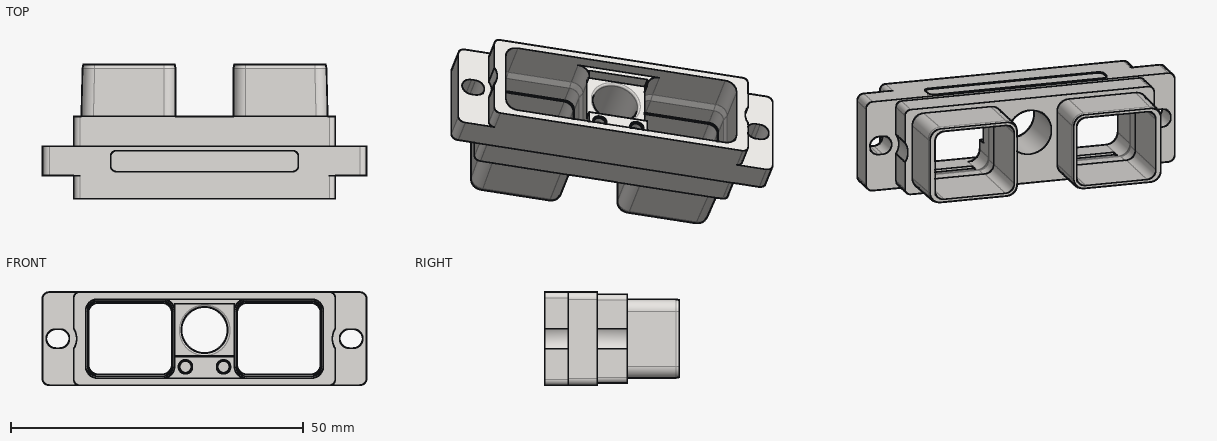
import cadquery as cq

flange_length = 55.41
shell_height = 15.93
body_length = 44.66
rear_body_height = 15.2
total_depth = 22.99

flange_front_y = 4.0
flange_rear_y = 9.0
body_rear_y = 14.1
corner_radius = 1.0
flange_corner_radius = 1.2

mount_hole_x = 25.05
mount_hole_length = 3.9
mount_hole_height = 3.2
groove_radius = 3.22

pod_inner_x = 4.93
pod_outer_x = 21.05
pod_height = 13.5
pod_corner_radius = 2.04
pod_side_draft = 0.2
pod_tip_length = 0.65
pod_tip_inset = 0.15

cavity_length = 40.6
cavity_height = 13.5
pocket_corner_radius = 2.05
web_width = 10.2
web_front_y = 2.0
funnel_front_y = 6.75
funnel_rear_y = 8.05
funnel_inset = 0.33
lip_front_y = 11.5
aperture_height = 12.15
aperture_side_inset = 0.5
aperture_corner_radius = 1.6
pocket_width = (cavity_length - web_width) / 2
pocket_center_x = (cavity_length + web_width) / 4

latch_front_y = 4.55
latch_rear_y = 6.4
latch_depth = 0.45
latch_side_margin = 0.1
latch_width = pocket_width - 2 * (pocket_corner_radius + latch_side_margin)

recess_bottom_z = -2.95
recess_top_z = 5.95
recess_floor_y = 4.0
ledge_edge_chamfer = 0.15
bore_z = 1.47
bore_radius = 3.92
bore_mouth_fillet = 0.4

pin_hole_x = 3.25
pin_hole_z = -4.82
pin_hole_radius = 1.0
pin_mouth_radius = 1.2
pin_mouth_depth = 0.3
pin_hole_depth = 1.5

label_length = 32.07
label_depth_y = 3.58
label_center_y = 6.45
label_corner_radius = 1.0
label_sink = 0.2


def plane_at(y, x=0, z=0):
    """XZ plane at depth y whose normal points to the rear (+Y); its local X is the part's -X."""
    return cq.Plane(origin=(x, y, z), xDir=(-1, 0, 0), normal=(0, 1, 0))


def rounded_block(length, height, radius, front_y, rear_y, center_x=0):
    block = cq.Workplane(plane_at(front_y, center_x)).rect(length, height).extrude(rear_y - front_y)
    return block.edges("|Y").fillet(radius)


def rounded_rect(width, height, radius):
    return cq.Sketch().rect(width, height).vertices().fillet(radius)


def tapered_block(front, rear):
    """Loft between two rounded rectangles, each given as (y, center_x, width, height, radius)."""
    front_y, front_x, front_width, front_height, front_radius = front
    rear_y, rear_x, rear_width, rear_height, rear_radius = rear
    front_sketch = rounded_rect(front_width, front_height, front_radius)
    rear_sketch = rounded_rect(rear_width, rear_height, rear_radius)
    rear_place = cq.Location(cq.Vector(front_x - rear_x, 0, rear_y - front_y))
    start = cq.Workplane(plane_at(front_y, front_x))
    return start.placeSketch(front_sketch, rear_sketch.moved(rear_place)).loft()


def shell():
    front_body = rounded_block(body_length, shell_height, corner_radius, 0, flange_rear_y)
    rear_body = rounded_block(body_length, rear_body_height, corner_radius, flange_front_y, body_rear_y)
    bodies = front_body.union(rear_body)
    for side in (-1, 1):
        groove = cq.Workplane(plane_at(0, side * mount_hole_x)).circle(groove_radius).extrude(body_rear_y)
        bodies = bodies.cut(groove)
    flange = rounded_block(flange_length, shell_height, flange_corner_radius, flange_front_y, flange_rear_y)
    for side in (-1, 1):
        hole = cq.Workplane(plane_at(flange_front_y, side * mount_hole_x))
        hole = hole.slot2D(mount_hole_length, mount_hole_height).extrude(flange_rear_y - flange_front_y)
        flange = flange.cut(hole)
    return bodies.union(flange)


def pod(side):
    """Hollow pod's outer form: its outboard wall leans inward, and the tip is tapered all round."""
    base_width = pod_outer_x - pod_inner_x
    base_x = side * (pod_outer_x + pod_inner_x) / 2
    top_width = base_width - pod_side_draft
    top_x = base_x - side * pod_side_draft / 2
    shoulder_y = total_depth - pod_tip_length
    base = (body_rear_y, base_x, base_width, pod_height, pod_corner_radius)
    shoulder = (shoulder_y, top_x, top_width, pod_height, pod_corner_radius)
    tip = (
        total_depth,
        top_x,
        top_width - 2 * pod_tip_inset,
        pod_height - 2 * pod_tip_inset,
        pod_corner_radius - pod_tip_inset,
    )
    return tapered_block(base, shoulder).union(tapered_block(shoulder, tip))


def pocket(side):
    """Wide front, funnel, narrower middle, then the lipped aperture through the pod."""
    x = side * pocket_center_x
    middle_width = pocket_width - 2 * funnel_inset
    middle_height = cavity_height - 2 * funnel_inset
    middle_radius = pocket_corner_radius - funnel_inset
    aperture_width = pocket_width - 2 * aperture_side_inset
    space = rounded_block(pocket_width, cavity_height, pocket_corner_radius, 0, funnel_front_y, x)
    funnel = tapered_block(
        (funnel_front_y, x, pocket_width, cavity_height, pocket_corner_radius),
        (funnel_rear_y, x, middle_width, middle_height, middle_radius),
    )
    middle = rounded_block(middle_width, middle_height, middle_radius, funnel_rear_y, lip_front_y, x)
    aperture = rounded_block(
        aperture_width, aperture_height, aperture_corner_radius, lip_front_y, total_depth, x
    )
    return space.union(funnel).union(middle).union(aperture)


def latch_recess(side):
    floor_z = -cavity_height / 2
    start_x = side * pocket_center_x - latch_width / 2
    profile = cq.Workplane("YZ", origin=(start_x, 0, 0)).polyline(
        [(latch_front_y, floor_z), (latch_rear_y, floor_z), (latch_front_y, floor_z - latch_depth)]
    )
    return profile.close().extrude(latch_width)


def web_recess():
    height = recess_top_z - recess_bottom_z
    center_z = (recess_top_z + recess_bottom_z) / 2
    recess = cq.Workplane(plane_at(web_front_y, 0, center_z)).rect(web_width, height)
    recess = recess.extrude(recess_floor_y - web_front_y)
    ledge_bevel = cq.Workplane("YZ", origin=(-web_width / 2, 0, 0)).polyline(
        [
            (web_front_y, recess_bottom_z - ledge_edge_chamfer),
            (web_front_y, recess_bottom_z),
            (web_front_y + ledge_edge_chamfer, recess_bottom_z),
        ]
    )
    return recess.union(ledge_bevel.close().extrude(web_width))


def bore():
    """Through bore whose mouth is rounded outward: a revolved profile about the bore axis."""
    mouth_radius = bore_radius + bore_mouth_fillet
    straight_y = recess_floor_y + bore_mouth_fillet
    arc_center = cq.Vector(mouth_radius, straight_y)
    arc_middle = arc_center - cq.Vector(1, 1).normalized() * bore_mouth_fillet
    profile = (
        cq.Workplane("XY", origin=(0, 0, bore_z))
        .moveTo(0, recess_floor_y)
        .lineTo(mouth_radius, recess_floor_y)
        .threePointArc((arc_middle.x, arc_middle.y), (bore_radius, straight_y))
        .lineTo(bore_radius, body_rear_y)
        .lineTo(0, body_rear_y)
        .close()
    )
    return profile.revolve(360, (0, 0, 0), (0, 1, 0))


def pin_hole(side):
    plane = plane_at(web_front_y, side * pin_hole_x, pin_hole_z)
    hole = cq.Workplane(plane).circle(pin_hole_radius).extrude(pin_hole_depth)
    return hole.union(cq.Workplane(plane).circle(pin_mouth_radius).extrude(pin_mouth_depth))


def label_panel():
    panel = cq.Workplane("XY", origin=(0, label_center_y, shell_height / 2 - label_sink))
    return panel.rect(label_length, label_depth_y).extrude(label_sink).edges("|Z").fillet(label_corner_radius)


result = shell()
for side in (-1, 1):
    result = result.union(pod(side))
result = result.cut(rounded_block(cavity_length, cavity_height, pocket_corner_radius, 0, web_front_y))
for side in (-1, 1):
    result = result.cut(pocket(side)).cut(latch_recess(side)).cut(pin_hole(side))
result = result.cut(web_recess()).cut(bore()).cut(label_panel())